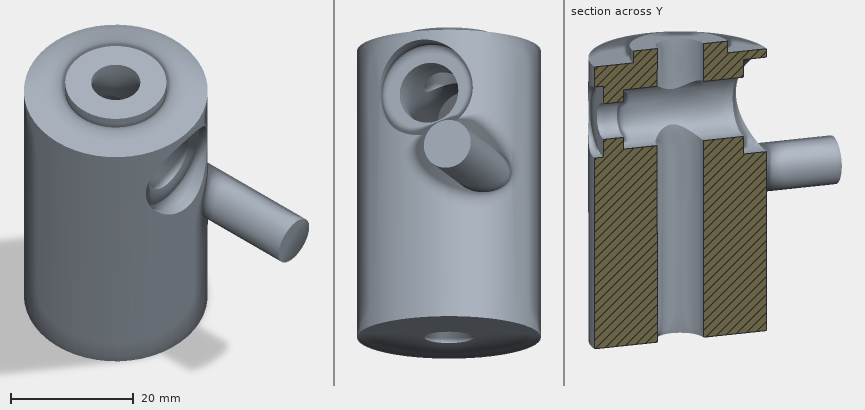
import cadquery as cq

housing_diameter = 30
housing_height = 48
collar_diameter = 16.5
collar_height = 2
bore_diameter = 8
total_height = housing_height + collar_height
housing_radius = housing_diameter / 2

cross_hole_height = 38.5
left_recess_diameter = 12
left_recess_floor_x = -13.4
neck_diameter = 6
neck_length = 3.5
passage_start_x = left_recess_floor_x + neck_length
passage_diameter = 10
right_recess_diameter = 16
right_recess_floor_x = 11

pin_diameter = 8
pin_offset_y = 9
pin_height = 25
pin_tip_x = 30
pin_seat_x = 0


def z_cylinder(diameter, height):
    """Cylinder on the housing axis, standing on the base plane."""
    return cq.Workplane("XY").circle(diameter / 2).extrude(height)


def x_cylinder(diameter, start_x, end_x, y, z):
    """Cylinder parallel to X between two X positions."""
    return (
        cq.Workplane("YZ", origin=(start_x, y, z))
        .circle(diameter / 2)
        .extrude(end_x - start_x)
    )


def make_cross_hole():
    """Cutting tool for the stepped cross hole, one cylinder per step."""
    steps = [
        (left_recess_diameter, -housing_radius, left_recess_floor_x),
        (neck_diameter, left_recess_floor_x, passage_start_x),
        (passage_diameter, passage_start_x, right_recess_floor_x),
        (right_recess_diameter, right_recess_floor_x, housing_radius),
    ]
    tool = cq.Workplane("XY")
    for diameter, start_x, end_x in steps:
        tool = tool.add(x_cylinder(diameter, start_x, end_x, 0, cross_hole_height))
    return tool.combine()


def make_pin():
    return x_cylinder(pin_diameter, pin_seat_x, pin_tip_x, pin_offset_y, pin_height)


def make_housing():
    post = z_cylinder(housing_diameter, housing_height)
    collar = z_cylinder(collar_diameter, total_height)
    bore = z_cylinder(bore_diameter, total_height)
    body = post.union(collar).cut(bore).cut(make_cross_hole())
    return body.cut(make_pin())


housing = make_housing()
pin = make_pin()

result = cq.Compound.makeCompound([housing.val(), pin.val()])